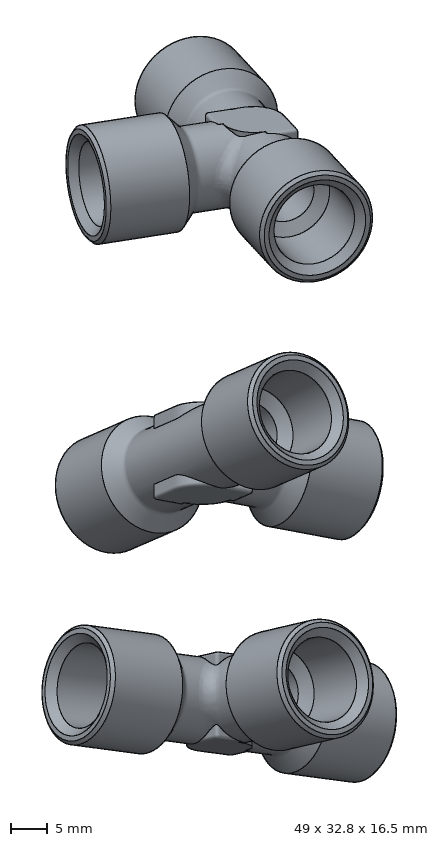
import cadquery as cq
import math

run_length = 49.0
arm_length = run_length / 2

barrel_diameter = 16.5
barrel_radius = barrel_diameter / 2
barrel_length = 12.0
end_chamfer = 0.5
body_diameter = 12.0
body_radius = body_diameter / 2
neck_fillet = 1.0
crotch_fillet = 2.0

bore_radius = 4.0
socket_radius = 5.9
socket_depth = 10.8
mouth_radius = 7.05
mouth_depth = 1.2
socket_floor_angle = 59.0

pad_height = body_radius + 0.025
pad_depth = 2.95
pad_near = 4.5
pad_far = 5.5
pad_corner_round = 0.5
pad_rim_round = 0.45

BRANCH_TURN = -90
ARM_TURNS = (0, BRANCH_TURN, 180)


def turn(shape, angle):
    return shape.rotate((0, 0, 0), (0, 0, 1), angle)


def make_body():
    """Plain cylindrical tee whose ends reach inside the barrels' shoulders."""
    body_reach = arm_length - barrel_length
    run = cq.Workplane("YZ").circle(body_radius).extrude(body_reach, both=True)
    branch = turn(cq.Workplane("YZ").circle(body_radius).extrude(body_reach), BRANCH_TURN)
    body = run.union(branch)
    seams = [edge for edge in body.edges().vals() if edge.geomType() == "ELLIPSE"]
    return body.newObject(seams).fillet(crotch_fillet)


def make_pad():
    """Leaf-shaped flat: rounded rim on three quarters, plain rim on the fourth."""
    arc_mid = pad_near * math.sqrt(0.5)
    leaf = (
        cq.Workplane("XY")
        .lineTo(pad_far, 0)
        .lineTo(pad_far, pad_near)
        .lineTo(0, pad_near)
        .threePointArc((-arc_mid, arc_mid), (-pad_near, 0))
        .lineTo(-pad_near, -pad_far)
        .lineTo(0, -pad_far)
        .close()
        .extrude(-pad_depth)
    )
    square_corners = leaf.edges(
        cq.selectors.NearestToPointSelector((pad_far, pad_near, -pad_depth / 2))
        + cq.selectors.NearestToPointSelector((-pad_near, -pad_far, -pad_depth / 2))
    )
    leaf = square_corners.fillet(pad_corner_round)
    inner_edges = cq.selectors.NearestToPointSelector(
        (pad_far / 2, 0, 0)
    ) + cq.selectors.NearestToPointSelector((0, -pad_far / 2, 0))
    leaf = leaf.faces(">Z").edges(cq.selectors.InverseSelector(inner_edges)).fillet(pad_rim_round)

    disc = cq.Workplane("XY").circle(pad_near).extrude(-pad_depth)
    quarter = cq.Workplane("XY").rect(pad_far, -pad_far, centered=False).extrude(-pad_depth)
    return leaf.union(disc.intersect(quarter)).translate((0, 0, pad_height))


def make_barrel():
    """Outer barrel with a 45 degree shoulder blending into the body."""
    shoulder = arm_length - barrel_length
    neck = shoulder - (barrel_radius - body_radius)
    half_turn = math.radians(45) / 2
    tangent = neck_fillet * math.tan(half_turn)
    slope_step = tangent * math.sqrt(0.5)
    fillet_center_radius = body_radius + neck_fillet
    fillet_mid = (
        neck - tangent + neck_fillet * math.sin(half_turn),
        fillet_center_radius - neck_fillet * math.cos(half_turn),
    )
    return (
        cq.Workplane("XY")
        .moveTo(neck - tangent, 0)
        .lineTo(neck - tangent, body_radius)
        .threePointArc(fillet_mid, (neck + slope_step, body_radius + slope_step))
        .lineTo(shoulder, barrel_radius)
        .lineTo(arm_length - end_chamfer, barrel_radius)
        .lineTo(arm_length, barrel_radius - end_chamfer)
        .lineTo(arm_length, 0)
        .close()
        .revolve(360, (0, 0, 0), (1, 0, 0))
    )


def make_bore():
    """Through bore, socket with a conical floor, and countersunk mouth."""
    socket_floor = arm_length - socket_depth
    floor_length = (socket_radius - bore_radius) / math.tan(math.radians(socket_floor_angle))
    profile = [
        (0, 0),
        (0, bore_radius),
        (socket_floor - floor_length, bore_radius),
        (socket_floor, socket_radius),
        (arm_length - mouth_depth, socket_radius),
        (arm_length, mouth_radius),
        (arm_length, 0),
    ]
    return cq.Workplane("XY").polyline(profile).close().revolve(360, (0, 0, 0), (1, 0, 0))


upper_pad = make_pad()
result = make_body().union(upper_pad).union(upper_pad.mirror("XY"))
for angle in ARM_TURNS:
    result = result.union(turn(make_barrel(), angle))
for angle in ARM_TURNS:
    result = result.cut(turn(make_bore(), angle))